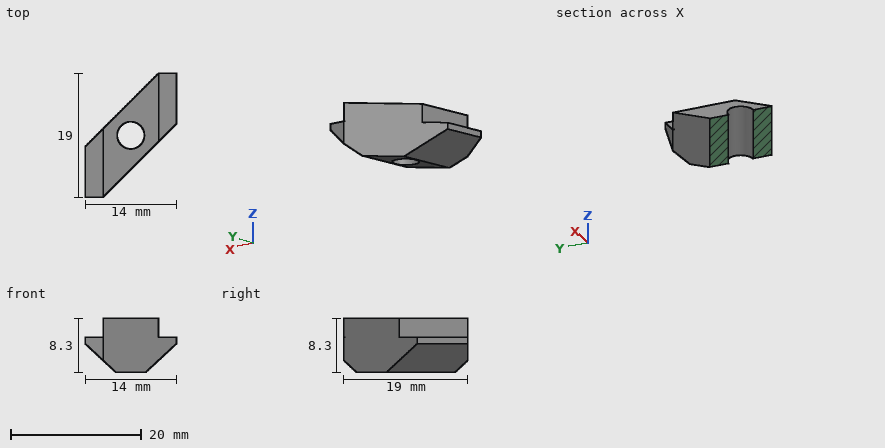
import cadquery as cq

length_x = 14.0
length_y = 19.0
height = 8.3

neck_width = 8.5
neck_height = 2.9
wing_edge_height = 1.0
base_width = 4.55

hole_diameter = 4.13

half_x = length_x / 2
half_y = length_y / 2
half_neck = neck_width / 2
half_base = base_width / 2
shoulder_z = height - neck_height
wing_edge_z = shoulder_z - wing_edge_height

side_rise = half_x + half_neck
side_end_y = side_rise - half_y


def make_section_bar():
    """T section with tapered underside, extruded along the full Y length."""
    section = [
        (-half_base, 0),
        (half_base, 0),
        (half_x, wing_edge_z),
        (half_x, shoulder_z),
        (half_neck, shoulder_z),
        (half_neck, height),
        (-half_neck, height),
        (-half_neck, shoulder_z),
        (-half_x, shoulder_z),
        (-half_x, wing_edge_z),
    ]
    return cq.Workplane("XZ").polyline(section).close().extrude(half_y, both=True)


def make_plan_prism():
    """Six-sided plan outline with two parallel 45 degree sides."""
    outline = [
        (-half_x, -half_y),
        (-half_neck, -half_y),
        (half_x, side_end_y),
        (half_x, half_y),
        (half_neck, half_y),
        (-half_x, -side_end_y),
    ]
    return cq.Workplane("XY").polyline(outline).close().extrude(height)


def make_hole():
    """Vertical cylinder through the centre of the part."""
    return cq.Workplane("XY").circle(hole_diameter / 2).extrude(height)


result = make_section_bar().intersect(make_plan_prism()).cut(make_hole())